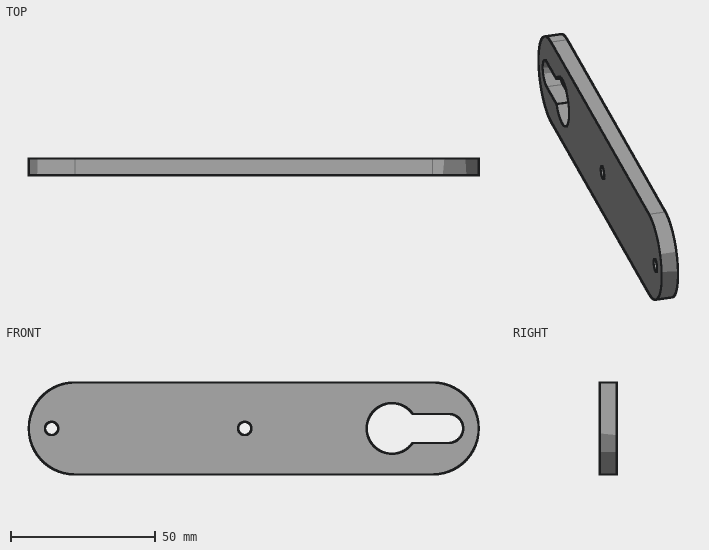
import cadquery as cq

length = 156.0
height = 32.0
thickness = 6.0

pin_diameter = 4.5
end_pin_offset = 8.0
middle_pin_offset = 74.9

keyhole_diameter = 17.5
keyhole_offset = 125.9
slot_width = 10.0
slot_end_margin = 5.5

left_end = -length / 2
right_end = length / 2


def round_cutter(x, diameter):
    """Cylinder along Y through the full plate thickness, on the centre line."""
    return (
        cq.Workplane("XZ")
        .center(x, 0)
        .circle(diameter / 2)
        .extrude(thickness / 2, both=True)
    )


def keyhole_cutter():
    """Round opening joined to the slot, which starts at the opening's centre."""
    opening_x = left_end + keyhole_offset
    slot_arc_x = right_end - slot_end_margin - slot_width / 2
    slot_run = slot_arc_x - opening_x
    straight = (
        cq.Workplane("XZ")
        .center(opening_x + slot_run / 2, 0)
        .rect(slot_run, slot_width)
        .extrude(thickness / 2, both=True)
    )
    opening = round_cutter(opening_x, keyhole_diameter)
    slot_end = round_cutter(slot_arc_x, slot_width)
    return opening.union(straight).union(slot_end)


plate = cq.Workplane("XZ").slot2D(length, height).extrude(thickness / 2, both=True)

for offset in (end_pin_offset, middle_pin_offset):
    plate = plate.cut(round_cutter(left_end + offset, pin_diameter))

result = plate.cut(keyhole_cutter())